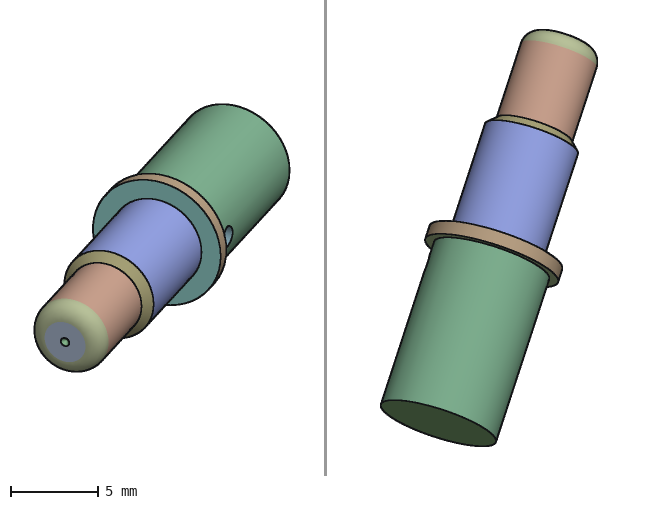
import cadquery as cq

total_length = 23.82
half_length = total_length / 2

body_radius = 3.48
flange_diameter = 8.03
flange_radius = flange_diameter / 2
shank_radius = 2.8
tip_radius = 2.29

body_length = 10.1
flange_thickness = 0.8
tip_length = 5.65
taper_length = shank_radius - tip_radius
nose_rounding = 1.0
nose_dimple_radius = 0.26
nose_dimple_depth = nose_dimple_radius

side_hole_radius = 0.65
side_hole_offset = 1.43

nose_y = -half_length
tip_end_y = nose_y + tip_length
flange_back_y = half_length - body_length
flange_front_y = flange_back_y - flange_thickness


def cylinder_along_y(radius, start_y, end_y):
    """Solid cylinder on the Y axis between two stations."""
    sketch = cq.Workplane("XZ", origin=(0, start_y, 0)).circle(radius)
    return sketch.extrude(start_y - end_y)


body = cylinder_along_y(body_radius, flange_back_y, half_length)
flange = cylinder_along_y(flange_radius, flange_front_y, flange_back_y)

shank_taper = cq.Workplane(
    cq.Solid.makeCone(
        tip_radius, shank_radius, taper_length, cq.Vector(0, tip_end_y, 0), cq.Vector(0, 1, 0)
    )
)
shank = cylinder_along_y(shank_radius, tip_end_y + taper_length, flange_front_y)
tip = cylinder_along_y(tip_radius, nose_y, tip_end_y).faces("<Y").edges().fillet(nose_rounding)

nose_dimple = cq.Workplane(
    cq.Solid.makeCone(
        nose_dimple_radius, 0, nose_dimple_depth, cq.Vector(0, nose_y, 0), cq.Vector(0, 1, 0)
    )
)

side_hole_y = flange_back_y + side_hole_offset
side_hole = cq.Workplane("YZ").center(side_hole_y, 0).circle(side_hole_radius).extrude(body_radius)

result = (
    body.union(flange)
    .union(shank)
    .union(shank_taper)
    .union(tip)
    .cut(nose_dimple)
    .cut(side_hole)
)